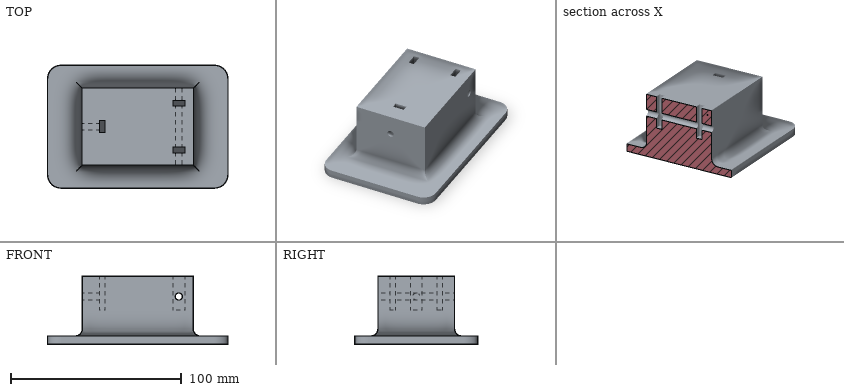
import cadquery as cq

flange_length = 105.6
flange_width = 72.0
flange_thickness = 5.0
flange_corner_radius = 8.0

total_height = 40.0
block_length = 65.0
block_width = 45.0
block_height = total_height - flange_thickness
root_radius = 4.0

slot_length = 7.0
slot_width = 3.4
slot_depth = 20.0
single_slot_x = -20.8
paired_slot_x = 24.0
paired_slot_y = 13.7

pin_diameter = 4.0
pin_height = 28.0


def make_flange():
    return (
        cq.Workplane("XY")
        .rect(flange_length, flange_width)
        .extrude(flange_thickness)
        .edges("|Z")
        .fillet(flange_corner_radius)
    )


def make_block():
    return (
        cq.Workplane("XY", origin=(0, 0, flange_thickness))
        .rect(block_length, block_width)
        .extrude(block_height)
    )


def root_profile(plane, half_width):
    """Cross-section of the flared foot, concave on both sides, on one vertical plane."""
    foot = half_width + root_radius
    root_top = flange_thickness + root_radius
    return (
        cq.Workplane(plane)
        .moveTo(-foot, flange_thickness)
        .lineTo(foot, flange_thickness)
        .radiusArc((half_width, root_top), root_radius)
        .lineTo(-half_width, root_top)
        .radiusArc((-foot, flange_thickness), root_radius)
        .close()
    )


def make_root():
    """Concave fillet around the block, mitred at the four corners."""
    along_y = root_profile("XZ", block_length / 2).extrude(flange_width / 2, both=True)
    along_x = root_profile("YZ", block_width / 2).extrude(flange_length / 2, both=True)
    return along_y.intersect(along_x)


def slot(x, y, size_x, size_y):
    return (
        cq.Workplane("XY", origin=(x, y, total_height))
        .rect(size_x, size_y)
        .extrude(-slot_depth)
    )


def cut_slots(body):
    body = body.cut(slot(single_slot_x, 0, slot_width, slot_length))
    for side in (-1, 1):
        body = body.cut(slot(paired_slot_x, side * paired_slot_y, slot_length, slot_width))
    return body


def cut_pin_holes(body):
    cross_hole = (
        cq.Workplane("XZ", origin=(paired_slot_x, 0, pin_height))
        .circle(pin_diameter / 2)
        .extrude(block_width / 2, both=True)
    )
    end_hole = (
        cq.Workplane("YZ", origin=(-block_length / 2, 0, pin_height))
        .circle(pin_diameter / 2)
        .extrude(block_length / 2 + single_slot_x)
    )
    return body.cut(cross_hole).cut(end_hole)


body = make_flange().union(make_root()).union(make_block())
result = cut_pin_holes(cut_slots(body))